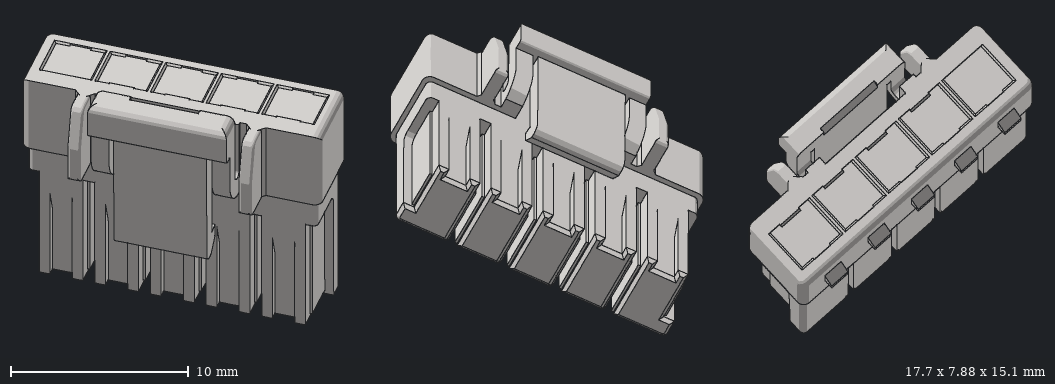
import cadquery as cq
import math


ways = 5
pitch = 3.3
way_centers = [(i - (ways - 1) / 2) * pitch for i in range(ways)]
gap_centers = [(i - ways / 2) * pitch for i in range(1, ways)]

head_width = 17.7
head_depth = 4.81
head_bottom = 9.17
head_top = 14.02
head_round = 0.48
head_front = -head_depth / 2
head_back = head_depth / 2

body_side_inset = 0.28
body_front_inset = 0.3
body_width = head_width - 2 * body_side_inset
body_depth = head_depth - 2 * body_front_inset
body_front = -body_depth / 2
body_round = 0.32
foot_chamfer = 0.21

leg_width = 2.6
slot_top = 7.4
rib_width = 2.9
rib_front = -1.27
rib_bottom = 0.42
end_wall_top = 0.92
end_wall_foot = 0.97
end_wall_round = 0.48
channel_width = 1.31
channel_depth = 0.5
channel_top = 5.98
channel_slope_height = 1.54

cavity_width = 3.12
cavity_front = -1.27
cavity_back = 1.54
cavity_depth = 0.1
cavity_slope = 0.12
tongue_width = 1.43
tongue_top = 0.07
tongue_foot = 0.2

tooth_width = 1.24
tooth_reach = 0.58
tooth_bottom = 11.4
tooth_lip = 11.86
tooth_top = 12.57

fin_offset = 5.06
fin_width = 0.78
fin_front = -4.53
fin_nose_corner = -3.9
fin_nose_height = 11.43
fin_nose_round = 0.53
fin_round = 0.2
fin_toe_round = 0.27
fin_flare = 0.2

lever_width = 5.5
lever_back = -3.35
lever_front_top = -4.35
lever_front_foot = -4.28
lever_bottom = 5.08
lever_round = 0.48
hook_tip = -2.8
hook_top = 6.69
hook_root = 6.57
hook_lip = 5.88
hook_foot = -3.54

cap_width = 8.21
cap_front = -4.9
cap_bottom = 12.89
cap_top = 15.1
cap_round = 0.5
cap_lower_round = 0.18
notch_width = 4.09
notch_reach = 0.3
notch_height = 0.7

arm_inner = 3.05
arm_front = -4.28
arm_bend_height = 10.89
arm_bend_round = 1.79
arm_root_front = -2.62
arm_groove_low = -2.87
arm_groove_round = arm_groove_low - lever_back
arm_root_round = arm_root_front - arm_groove_low


def block(x0, x1, y0, y1, z0, z1):
    """Box between two opposite corners."""
    return cq.Workplane("XY").box(x1 - x0, y1 - y0, z1 - z0, centered=False).translate((x0, y0, z0))


def centered_block(x, width, y0, y1, z0, z1):
    """Box centred on x."""
    return block(x - width / 2, x + width / 2, y0, y1, z0, z1)


def across(profile, x, width):
    """Extrude a closed (Y, Z) profile along X, centred on x."""
    return profile.extrude(width).translate((x - width / 2, 0, 0))


def yz_polygon(points):
    """Closed outline through (Y, Z) points."""
    return cq.Workplane("YZ").polyline(points).close()


def make_head():
    """Block with rounded corners and a rounded rim, sharp only along the front top edge."""
    head = centered_block(0, head_width, head_front, head_back, head_bottom, head_top)
    top_rim = head.faces(">Z").edges("not <Y")
    back_corners = head.faces(">Y").edges("|Z")
    rounded = head.newObject(top_rim.vals() + back_corners.vals()).fillet(head_round)
    return rounded.intersect(head.edges("|Z and <Y").fillet(head_round))


def make_leg_slot(x):
    """Gap between two legs: full width at the front and foot, narrower between the ribs."""
    wide = pitch - leg_width
    narrow = pitch - rib_width
    slot = centered_block(x, wide, head_front, rib_front, 0, slot_top)
    slot = slot.union(centered_block(x, wide, head_front, head_back, 0, rib_bottom))
    return slot.union(centered_block(x, narrow, head_front, head_back, 0, slot_top))


def make_end_recess(side):
    """Recess outside the last leg, closed by a wall at the back."""
    leg_face = way_centers[-1] + leg_width / 2
    rib_face = way_centers[-1] + rib_width / 2

    def back_profile():
        return (
            cq.Workplane("YZ")
            .moveTo(head_front, 0)
            .lineTo(head_front, slot_top)
            .lineTo(end_wall_top - end_wall_round, slot_top)
            .radiusArc((end_wall_top, slot_top - end_wall_round), end_wall_round)
            .lineTo(end_wall_foot, 0)
            .close()
        )

    outer = back_profile().extrude(head_width / 2 - rib_face).translate((rib_face, 0, 0))
    inner = back_profile().extrude(rib_face - leg_face).translate((leg_face, 0, 0))
    rib = block(leg_face, rib_face, rib_front, head_back, rib_bottom, slot_top)
    recess = outer.union(inner.cut(rib))
    return recess if side > 0 else recess.mirror("YZ")


def make_channel(x):
    """Channel up the front of a leg, ending in a slope."""
    floor = body_front + channel_depth
    profile = yz_polygon(
        [
            (body_front, 0),
            (body_front, channel_top),
            (floor, channel_top - channel_slope_height),
            (floor, 0),
        ]
    )
    return across(profile, x, channel_width)


def make_body():
    """Lower body split into legs, with a chamfer around every foot."""
    body = centered_block(0, body_width, body_front, -body_front, 0, head_bottom)
    body = body.edges("|Z").fillet(body_round)
    for x in gap_centers:
        body = body.cut(make_leg_slot(x))
    for side in (-1, 1):
        body = body.cut(make_end_recess(side))
    for x in way_centers:
        body = body.cut(make_channel(x))
    return body.faces("<Z").edges().chamfer(foot_chamfer)


def make_cavity(x, with_tongue):
    """Shallow mouth of a contact cavity with sloping side and back walls.

    The back slope is interrupted in the middle; a tongue can stand on the front wall.
    """
    floor = head_top - cavity_depth
    half = cavity_width / 2
    side_profile = (
        cq.Workplane("XZ")
        .polyline(
            [
                (x - half, head_top),
                (x + half, head_top),
                (x + half - cavity_slope, floor),
                (x - half + cavity_slope, floor),
            ]
        )
        .close()
    )
    cavity = side_profile.extrude(cavity_back - cavity_front).translate((0, cavity_back, 0))
    slope_profile = [
        (cavity_back, head_top),
        (cavity_back, floor),
        (cavity_back - cavity_slope, floor),
    ]
    slope = across(yz_polygon(slope_profile), x, cavity_width)
    slope_gap = centered_block(x, tooth_width, cavity_front, head_back, floor, head_top)
    cavity = cavity.cut(slope.cut(slope_gap))
    if with_tongue:
        tongue_profile = [
            (cavity_front, floor),
            (cavity_front + tongue_foot, floor),
            (cavity_front + tongue_top, head_top),
            (cavity_front, head_top),
        ]
        cavity = cavity.cut(across(yz_polygon(tongue_profile), x, tongue_width))
    return cavity


def make_tooth(x):
    """Tooth with a sloping upper side."""
    profile = yz_polygon(
        [
            (head_back, tooth_bottom),
            (head_back + tooth_reach, tooth_bottom),
            (head_back + tooth_reach, tooth_lip),
            (head_back, tooth_top),
        ]
    )
    return across(profile, x, tooth_width)


def make_fin(x):
    """Upright guard fin with rounded edges and a flared root."""
    profile = yz_polygon(
        [
            (body_front, head_bottom),
            (fin_front, head_bottom),
            (fin_front, fin_nose_height),
            (fin_nose_corner, head_top),
            (body_front, head_top),
        ]
    )
    fin = across(profile, x, fin_width)
    nose = cq.selectors.NearestToPointSelector((x, fin_nose_corner, head_top))
    fin = fin.edges(nose).fillet(fin_nose_round)
    toe_cutter = fin.edges("<Y and <Z").fillet(fin_toe_round)
    fin = fin.faces("<X or >X").edges("not(<Z or >Y)").fillet(fin_round)
    fin = fin.intersect(toe_cutter)
    half = fin_width / 2
    flare = (
        cq.Workplane("XY")
        .polyline(
            [
                (x - half - fin_flare, head_front),
                (x + half + fin_flare, head_front),
                (x, head_front - fin_flare - half),
            ]
        )
        .close()
        .extrude(head_top - head_bottom)
        .translate((0, 0, head_bottom))
    )
    return fin.union(flare)


def make_arm(side):
    """Spring arm: a root on the head, a round bend and an upright strip up to the cap."""
    bend_drop = arm_bend_height - head_bottom
    bend_foot = arm_front + arm_bend_round - math.sqrt(arm_bend_round**2 - bend_drop**2)
    groove_floor = arm_bend_height - arm_groove_round
    profile = (
        cq.Workplane("YZ")
        .moveTo(body_front, head_bottom)
        .lineTo(bend_foot, head_bottom)
        .radiusArc((arm_front, arm_bend_height), arm_bend_round)
        .lineTo(arm_front, cap_top - cap_round)
        .lineTo(lever_back, cap_top - cap_round)
        .lineTo(lever_back, arm_bend_height)
        .radiusArc((arm_groove_low, groove_floor), -arm_groove_round)
        .radiusArc((arm_root_front, groove_floor + arm_root_round), -arm_root_round)
        .lineTo(arm_root_front, head_top)
        .lineTo(body_front, head_top)
        .close()
    )
    arm_width = cap_width / 2 - arm_inner
    return across(profile, side * (arm_inner + arm_width / 2), arm_width)


def make_lever():
    """Flat lever, slightly thinner towards the hook at its foot."""
    profile = (
        cq.Workplane("YZ")
        .moveTo(lever_back, cap_bottom)
        .lineTo(lever_back, hook_root)
        .lineTo(hook_tip, hook_top)
        .lineTo(hook_tip, hook_lip)
        .lineTo(hook_foot, lever_bottom)
        .lineTo(lever_front_foot + lever_round, lever_bottom)
        .radiusArc((lever_front_foot, lever_bottom + lever_round), lever_round)
        .lineTo(lever_front_top, cap_bottom)
        .close()
    )
    return across(profile, 0, lever_width)


def make_cap():
    """Thumb pad with a rounded top rim, sharp along the back."""
    cap = centered_block(0, cap_width, cap_front, lever_back, cap_bottom, cap_top)
    cap = cap.faces(">Z").edges("not >Y").fillet(cap_round)
    return cap.edges("<Y and <Z").fillet(cap_lower_round)


def make_notch():
    """Sloping notch in the back of the cap."""
    profile = [
        (lever_back, cap_top),
        (lever_back - notch_reach, cap_top),
        (lever_back, cap_top - notch_height),
    ]
    return across(yz_polygon(profile), 0, notch_width)


result = make_head().union(make_body())

result = result.cut(centered_block(0, 2 * arm_inner, head_front, body_front, head_bottom, head_top))

for way, x in enumerate(way_centers):
    result = result.cut(make_cavity(x, with_tongue=way > 0))
    result = result.union(make_tooth(x))

for side in (-1, 1):
    result = result.union(make_fin(side * fin_offset))
    result = result.union(make_arm(side))

result = result.union(make_lever()).union(make_cap()).cut(make_notch())